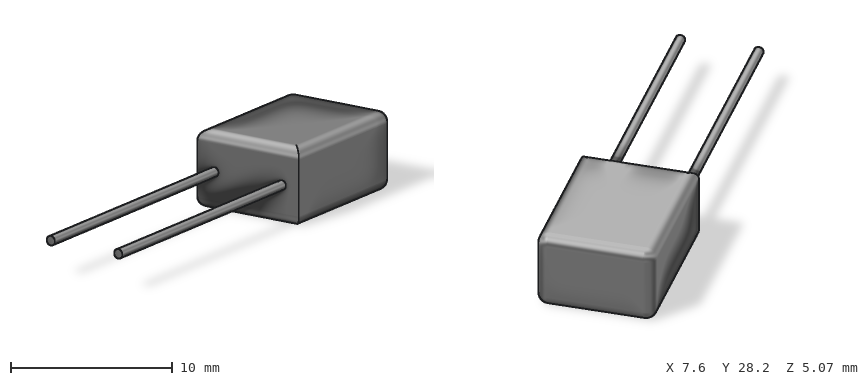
import cadquery as cq


total_length = 28.18
case_width = 7.6
case_length = 10.2
case_height = 5.07
case_edge_radius = 0.7

lead_diameter = 0.62
lead_pitch = 5.05
lead_length = total_length - case_length


def make_case():
    """Block with every edge rounded except the two upright edges at the lead end."""
    block = cq.Workplane("XY").box(case_width, case_length, case_height, centered=(True, False, True))
    top_and_bottom_edges = block.edges("#Z")
    rear_upright_edges = block.faces(">Y").edges("|Z")
    return top_and_bottom_edges.add(rear_upright_edges).fillet(case_edge_radius)


def make_lead(x):
    """Round wire standing on the flat lead end of the case and running toward -Y."""
    return cq.Workplane("XZ").center(x, 0).circle(lead_diameter / 2).extrude(lead_length)


case = make_case()
leads = [make_lead(side * lead_pitch / 2) for side in (-1, 1)]

result = cq.Compound.makeCompound([case.val(), *[lead.val() for lead in leads]])